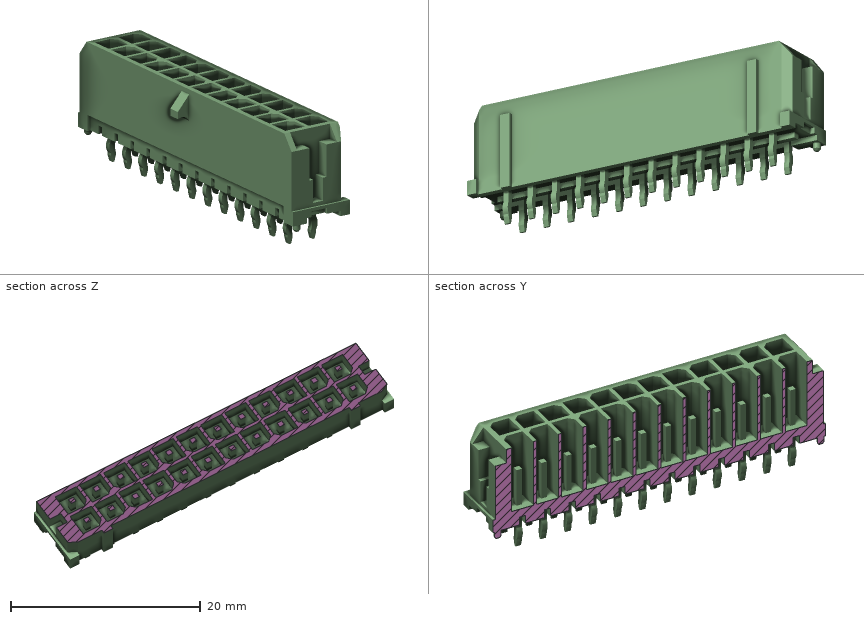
import cadquery as cq


COLUMNS = 12
COLUMN_SPAN = 33.0
PITCH = COLUMN_SPAN / (COLUMNS - 1)
PIN_SIDE = 0.65
PIN_TOP = 6.42
PIN_BOTTOM = -3.17

BASE_LENGTH = 40.15
BASE_TOP = 1.6
SHELL_LENGTH = 39.63
SHELL_FRONT = -3.37
SHELL_BACK = 3.5
SHELL_TOP = 9.9
SHOULDER_TOP = 8.25
ROOF_LENGTH = 36.95
CORNER_RUN_X = 1.0
CORNER_RUN_Y = 0.52

CAVITY_SIDE = 2.55
CAVITY_KEY = 0.6
CAVITY_FLOOR = 2
BACK_ROW_KEYS = "LLRRLRRRLRLL"
FRONT_ROW_KEYS = "LLRLRRRRLRLL"

END_RECESS_FRONT = -2.65
END_RECESS_BACK = 2.45
UPPER_SLOT_WIDTH = 2.15
UPPER_SLOT_FLOOR = 4.6
LOWER_SLOT_WIDTH = 1.25
LOWER_SLOT_FLOOR = 2.05
END_NOTCH_WIDTH = 2
END_NOTCH_TOP = 1.25
END_NOTCH_DEPTH = 0.5

BACK_FACE = 3.95
FOOT_WIDTH = 1.15
RIB_X = 15.35

CHANNEL_FRONT = -1.55
CHANNEL_BACK = 2.75
CHANNEL_TOP = 0.6
KEEL_WIDTH = 0.8
FRONT_RECESS_LENGTH = 36.6
FRONT_RECESS_TOP = 1.8
FRONT_RECESS_DEPTH = 0.4
PIN_SLOT_WIDTH = 0.7
PIN_SLOT_TOP = 0.95

PEG_X = 19.47
PEG_Y = -2.5
PEG_DIAMETER = 0.85
PEG_TIP_DIAMETER = 0.45
PEG_SHANK = 0.6
PEG_LENGTH = 0.85

LATCH_WIDTH = 1.4
LATCH_REACH = 1.45


def block(x_range, y_range, z_range):
    """Box filling the given X, Y and Z ranges."""
    (x0, x1), (y0, y1), (z0, z1) = x_range, y_range, z_range
    return cq.Workplane("XY").box(x1 - x0, y1 - y0, z1 - z0, centered=False).translate((x0, y0, z0))


def centred(width, middle=0):
    """Range of the given width about a middle value."""
    return (middle - width / 2, middle + width / 2)


def column_x(column):
    return (column - (COLUMNS - 1) / 2) * PITCH


def make_shell():
    """Solid body with sloped ends, bevelled back corners and the base plate."""
    half = SHELL_LENGTH / 2
    roof = ROOF_LENGTH / 2
    profile = [
        (-half, 0),
        (half, 0),
        (half, SHOULDER_TOP),
        (roof, SHELL_TOP),
        (-roof, SHELL_TOP),
        (-half, SHOULDER_TOP),
    ]
    footprint = [
        (-half, SHELL_FRONT),
        (half, SHELL_FRONT),
        (half, SHELL_BACK - CORNER_RUN_Y),
        (half - CORNER_RUN_X, SHELL_BACK),
        (-half + CORNER_RUN_X, SHELL_BACK),
        (-half, SHELL_BACK - CORNER_RUN_Y),
    ]
    back_plane = cq.Workplane("XZ", origin=(0, SHELL_BACK, 0))
    side = back_plane.polyline(profile).close().extrude(SHELL_BACK - SHELL_FRONT)
    bevelled = cq.Workplane("XY").polyline(footprint).close().extrude(SHELL_TOP)
    base = block(centred(BASE_LENGTH), (SHELL_FRONT, SHELL_BACK), (0, BASE_TOP))
    return side.intersect(bevelled).union(base)


def cut_end(body, side):
    """Recess, stepped slot and base notch at one end; side is -1 or 1."""
    inner = side * ROOF_LENGTH / 2
    outer = side * BASE_LENGTH / 2
    depth = tuple(sorted((inner, outer)))
    notch = tuple(sorted((outer - side * END_NOTCH_DEPTH, outer)))
    body = body.cut(block(depth, (END_RECESS_FRONT, END_RECESS_BACK), (SHOULDER_TOP, SHELL_TOP)))
    body = body.cut(block(depth, centred(UPPER_SLOT_WIDTH), (UPPER_SLOT_FLOOR, SHELL_TOP)))
    body = body.cut(block(depth, centred(LOWER_SLOT_WIDTH), (LOWER_SLOT_FLOOR, SHELL_TOP)))
    return body.cut(block(notch, centred(END_NOTCH_WIDTH), (0, END_NOTCH_TOP)))


def add_back_foot(body, side):
    """Corner foot and tall rib on the back, at one end."""
    y_range = (SHELL_BACK - CORNER_RUN_Y, BACK_FACE)
    foot = block(centred(FOOT_WIDTH, side * (BASE_LENGTH - FOOT_WIDTH) / 2), y_range, (0, BASE_TOP))
    rib = block(centred(FOOT_WIDTH, side * RIB_X), (SHELL_BACK, BACK_FACE), (0, SHOULDER_TOP))
    return body.union(foot).union(rib)


def make_cavity(x, y, key):
    """Square well with one back corner bevelled, on the left or the right."""
    key_side = "<X" if key == "L" else ">X"
    cavity = block(centred(CAVITY_SIDE, x), centred(CAVITY_SIDE, y), (CAVITY_FLOOR, SHELL_TOP))
    return cavity.faces(key_side).edges(">Y").chamfer(CAVITY_KEY)


def cut_underside(body):
    """Channel between the rails with its keel, the front recess and the contact slots."""
    channel = block(centred(BASE_LENGTH), (CHANNEL_FRONT, CHANNEL_BACK), (0, CHANNEL_TOP))
    keel = block(centred(ROOF_LENGTH), centred(KEEL_WIDTH), (0, CHANNEL_TOP))
    recess = block(
        centred(FRONT_RECESS_LENGTH), (SHELL_FRONT, SHELL_FRONT + FRONT_RECESS_DEPTH), (0, FRONT_RECESS_TOP)
    )
    body = body.cut(channel.cut(keel)).cut(recess)
    for column in range(COLUMNS):
        slot_x = centred(PIN_SLOT_WIDTH, column_x(column))
        body = body.cut(block(slot_x, (SHELL_FRONT, -PITCH / 2), (0, PIN_SLOT_TOP)))
    return body


def make_contact(x, row):
    """Square contact whose tail bows outward; row is -1 for the front, 1 for the back."""
    half = PIN_SIDE / 2
    bow_top, bow_middle, bow_bottom = -0.75, -1.45, -2.15
    outer_bow, inner_bow = 0.2, 0.12
    taper_top = -2.45
    tip_half = 0.12

    def at(offset, z):
        return (row * (PITCH / 2 + offset), z)

    return (
        cq.Workplane("YZ", origin=(x - half, 0, 0))
        .moveTo(*at(-half, PIN_TOP))
        .lineTo(*at(half, PIN_TOP))
        .lineTo(*at(half, bow_top))
        .threePointArc(at(half + outer_bow, bow_middle), at(half, bow_bottom))
        .lineTo(*at(half, taper_top))
        .lineTo(*at(tip_half, PIN_BOTTOM))
        .lineTo(*at(-tip_half, PIN_BOTTOM))
        .lineTo(*at(-half, taper_top))
        .lineTo(*at(-half, bow_bottom))
        .threePointArc(at(-half + inner_bow, bow_middle), at(-half, bow_top))
        .close()
        .extrude(PIN_SIDE)
    )


def make_peg(x):
    """Round locating peg with a conical tip."""
    radius = PEG_DIAMETER / 2
    profile = [
        (0, CHANNEL_TOP),
        (radius, CHANNEL_TOP),
        (radius, -PEG_SHANK),
        (PEG_TIP_DIAMETER / 2, -PEG_LENGTH),
        (0, -PEG_LENGTH),
    ]
    peg = cq.Workplane("XZ").polyline(profile).close().revolve(360, (0, 0), (0, 1))
    return peg.translate((x, PEG_Y, 0))


def make_latch():
    """Ramp on the front face with a hooked tip and a hollowed underside."""
    tip = SHELL_FRONT - LATCH_REACH
    ramp_top, ramp_bottom = 9.35, 7.65
    hook_bottom, root_bottom = 6.85, 6.42
    hollow = (SHELL_FRONT - 0.8, 7.0)
    return (
        cq.Workplane("YZ", origin=(-LATCH_WIDTH / 2, 0, 0))
        .moveTo(SHELL_FRONT, ramp_top)
        .lineTo(tip, ramp_bottom)
        .lineTo(tip, hook_bottom)
        .threePointArc(hollow, (SHELL_FRONT, root_bottom))
        .close()
        .extrude(LATCH_WIDTH)
    )


result = make_shell()
for end in (-1, 1):
    result = cut_end(result, end)
    result = add_back_foot(result, end)
result = cut_underside(result)
for end in (-1, 1):
    result = result.union(make_peg(end * PEG_X))
for row, keys in ((-1, FRONT_ROW_KEYS), (1, BACK_ROW_KEYS)):
    for column, key in enumerate(keys):
        result = result.cut(make_cavity(column_x(column), row * PITCH / 2, key))
        result = result.union(make_contact(column_x(column), row))
result = result.union(make_latch())